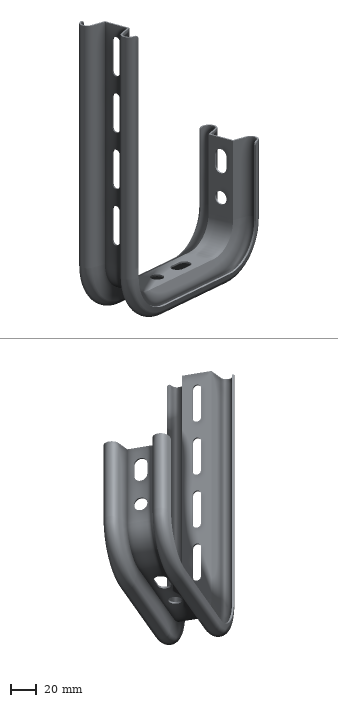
import cadquery as cq
import math

width = 55.0
span = 170.0
long_leg_top = 245.0
short_leg_top = 109.0
outer_bend_radius = 42.9

thickness = 1.5
depth = 18.1
crest_radius = 6.4
lip_height = 9.3
flare_angle = math.radians(15)

lip_corner_radius = 3.0

leg_slot_width = 6.9
leg_slot_length = 32.8
leg_slot_count = 4
leg_slot_pitch = 47.0
top_slot_center_z = 218.5

hole_diameter = 11.0
wide_slot_length = 20.0
pair_spacing = 30.6
short_leg_pair_center_z = 74.0

crest_y = span / 2
web_y = crest_y - depth
cutter_reach = depth
slot_angle = 90


def section_half(lateral_sign):
    """Points of one side of the section, first on the inner face, then on the outer face.

    Coordinates are (x, height above the crest). Points run from the web to the lip tip.
    """
    sin_a = math.sin(flare_angle)
    cos_a = math.cos(flare_angle)
    lip_length = (lip_height - crest_radius * (1 - sin_a)) / cos_a
    crest_x = width / 2 - crest_radius * cos_a - lip_length * sin_a

    def face_points(radius, web_height):
        tangent_height = crest_radius - radius * sin_a
        flank_x = crest_x - radius * cos_a
        web_x = flank_x - (web_height - tangent_height) * math.tan(flare_angle)
        lip_x = crest_x + radius * cos_a
        tip = (lip_x + lip_length * sin_a, tangent_height + lip_length * cos_a)
        points = [
            (web_x, web_height),
            (flank_x, tangent_height),
            (crest_x, crest_radius - radius),
            (lip_x, tangent_height),
            tip,
        ]
        return [(lateral_sign * x, height) for x, height in points]

    inner = face_points(crest_radius - thickness, depth)
    outer = face_points(crest_radius, depth - thickness)
    return inner, outer


def channel_section():
    """Closed channel section on the top end of the long leg, its crests towards -Y."""
    left_inner, left_outer = section_half(-1)
    right_inner, right_outer = section_half(1)

    def trace_face(sketch, near, far):
        """Trace one face of the sheet from the near lip tip to the far one."""
        return (
            sketch.lineTo(*near[3])
            .threePointArc(near[2], near[1])
            .lineTo(*near[0])
            .lineTo(*far[0])
            .lineTo(*far[1])
            .threePointArc(far[2], far[3])
            .lineTo(*far[4])
        )

    start = cq.Workplane("XY", origin=(0, -crest_y, long_leg_top)).moveTo(*left_outer[4])
    outer_done = trace_face(start, left_outer, right_outer).lineTo(*right_inner[4])
    return trace_face(outer_done, right_inner, left_inner).close()


def bend_path():
    """Crest line of the J: down the long leg, along the floor and up the short leg."""
    radius = outer_bend_radius
    bend_y = crest_y - radius
    corner_offset = radius * math.sqrt(0.5)
    return (
        cq.Workplane("YZ")
        .moveTo(-crest_y, long_leg_top)
        .lineTo(-crest_y, radius)
        .threePointArc((-bend_y - corner_offset, radius - corner_offset), (-bend_y, 0))
        .lineTo(bend_y, 0)
        .threePointArc((bend_y + corner_offset, radius - corner_offset), (crest_y, radius))
        .lineTo(crest_y, short_leg_top)
    )


def round_lip_corners(body, end_center):
    """Round the free lip corners at one cut end; their edges are the shortest there."""
    end_face = body.faces(cq.selectors.NearestToPointSelector(end_center))
    return end_face.edges(cq.selectors.LengthNthSelector(0)).fillet(lip_corner_radius)


def leg_slots():
    """Row of narrow slots through the web of the long leg."""
    centers = [(0, top_slot_center_z - i * leg_slot_pitch) for i in range(leg_slot_count)]
    return (
        cq.Workplane("XZ", origin=(0, -web_y, 0))
        .pushPoints(centers)
        .slot2D(leg_slot_length, leg_slot_width, slot_angle)
        .extrude(cutter_reach, both=True)
    )


def slot_and_hole(plane):
    """Wide slot above a round hole along the plane's local y axis, centred on its origin."""
    slot = (
        plane.center(0, pair_spacing / 2)
        .slot2D(wide_slot_length, hole_diameter, slot_angle)
        .extrude(cutter_reach, both=True)
    )
    hole = (
        plane.center(0, -pair_spacing / 2)
        .circle(hole_diameter / 2)
        .extrude(cutter_reach, both=True)
    )
    return slot.union(hole)


channel = channel_section().sweep(bend_path())
for end_y, end_z in ((-crest_y, long_leg_top), (crest_y, short_leg_top)):
    channel = round_lip_corners(channel, (0, end_y, end_z))

floor_openings = slot_and_hole(cq.Workplane("XY", origin=(0, 0, depth)))
short_leg_openings = slot_and_hole(cq.Workplane("XZ", origin=(0, web_y, short_leg_pair_center_z)))

result = channel.cut(leg_slots()).cut(floor_openings).cut(short_leg_openings)